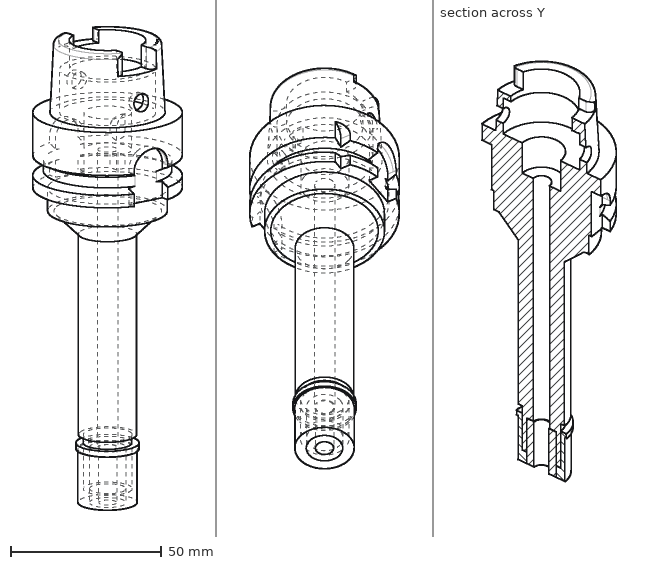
import cadquery as cq
import math

total_length = 160.0

taper_length = 25.0
taper_base_radius = 19.2
taper_tip_radius = 18.0
rim_fillet = 1.6

flange_radius = 25.0
groove_radius = 21.5
groove_upper_edge = 14.9
groove_upper_root = 16.5
groove_lower_root = 20.2
groove_lower_edge = 21.8
flange_height = 26.0

collar_radius = 20.0
collar_height = 8.0
cone_top_radius = 18.0
cone_height = 8.0
shank_radius = 9.8
neck_radius = 8.2
neck_top = 23.5

bore_radius = 12.8
bore_lip_depth = 10.0
undercut_radius = 16.0
thread_hole_radius = 8.0
thread_hole_depth = 12.8
coolant_hole_radius = 3.4

drive_slot_width = 10.5
drive_slot_corner_radius = 2.0
left_drive_slot_depth = 4.5
right_drive_slot_depth = 7.5

cross_hole_radius = 3.0
cross_hole_depth = 17.5

keyway_floor = 21.0
left_keyway_width = 12.0
right_keyway_width = 14.0
keyway_top_depth = 7.0
notch_floor = 15.8
notch_inner_edge = 15.7
notch_width = 10.0

nut_radius = 10.0
nut_ring_radius = 10.5
nut_ring_height = 2.0
nut_height = 20.6
nut_lip = 4.8
collet_radius = 6.0
collet_length = 19.2
collet_bore_radius = 3.0

flange_face = total_length - taper_length
flange_bottom = flange_face - flange_height
collar_bottom = flange_bottom - collar_height
cone_bottom = collar_bottom - cone_height
keyway_top = flange_face - keyway_top_depth


def cylinder(radius, bottom, top):
    return cq.Workplane("XY").workplane(offset=bottom).circle(radius).extrude(top - bottom)


def holder_blank():
    """Turned outside of the holder, from the nose in the nut up to the taper rim."""
    arc_offset = rim_fillet * (1 - math.sqrt(0.5))
    return (
        cq.Workplane("XZ")
        .moveTo(0, nut_lip)
        .lineTo(neck_radius, nut_lip)
        .lineTo(neck_radius, neck_top)
        .lineTo(shank_radius, neck_top)
        .lineTo(shank_radius, cone_bottom)
        .lineTo(cone_top_radius, collar_bottom)
        .lineTo(collar_radius, collar_bottom)
        .lineTo(collar_radius, flange_bottom)
        .lineTo(flange_radius, flange_bottom)
        .lineTo(flange_radius, flange_face - groove_lower_edge)
        .lineTo(groove_radius, flange_face - groove_lower_root)
        .lineTo(groove_radius, flange_face - groove_upper_root)
        .lineTo(flange_radius, flange_face - groove_upper_edge)
        .lineTo(flange_radius, flange_face)
        .lineTo(taper_base_radius, flange_face)
        .lineTo(taper_tip_radius, total_length - rim_fillet)
        .threePointArc(
            (taper_tip_radius - arc_offset, total_length - arc_offset),
            (taper_tip_radius - rim_fillet, total_length),
        )
        .lineTo(0, total_length)
        .close()
        .revolve(360, (0, 0, 0), (0, 1, 0))
    )


def holder_bore():
    """Lip, undercut, thread hole, coolant hole and collet seat along the axis."""
    lip_bottom = total_length - bore_lip_depth
    lip = cylinder(bore_radius, lip_bottom, total_length)
    undercut = cylinder(undercut_radius, flange_face, lip_bottom)
    thread_hole = cylinder(thread_hole_radius, flange_face - thread_hole_depth, flange_face)
    coolant_hole = cylinder(coolant_hole_radius, 0, flange_face)
    collet_seat = cylinder(collet_radius, 0, collet_length)
    return lip.union(undercut).union(thread_hole).union(coolant_hole).union(collet_seat)


def drive_slot(side, depth):
    """Slot through the taper rim on the +X (side = 1) or -X (side = -1) side.

    Its mouth is rounded by arcs tangent to the slot wall and to the taper.
    """
    half_width = drive_slot_width / 2
    radius = drive_slot_corner_radius
    center_y = half_width + radius
    center_distance = taper_tip_radius - radius
    center_x = math.sqrt(center_distance**2 - center_y**2)
    wall_to_taper_angle = (math.atan2(center_y, center_x) - math.pi / 2) / 2
    middle_x = center_x + radius * math.cos(wall_to_taper_angle)
    middle_y = center_y + radius * math.sin(wall_to_taper_angle)
    end_x = center_x * taper_tip_radius / center_distance
    end_y = center_y * taper_tip_radius / center_distance
    return (
        cq.Workplane("XY")
        .workplane(offset=total_length - depth)
        .moveTo(0, -half_width)
        .lineTo(side * center_x, -half_width)
        .threePointArc((side * middle_x, -middle_y), (side * end_x, -end_y))
        .lineTo(side * flange_radius, -end_y)
        .lineTo(side * flange_radius, end_y)
        .lineTo(side * end_x, end_y)
        .threePointArc((side * middle_x, middle_y), (side * center_x, half_width))
        .lineTo(0, half_width)
        .close()
        .extrude(depth)
    )


def flange_slot(side, floor, center_y, width):
    """Round-topped slot along X, open outward from its floor and through the flange bottom."""
    arc_center = keyway_top - width / 2
    length = flange_radius - floor
    middle_x = side * (floor + length / 2)
    straight_height = arc_center - flange_bottom
    straight = cq.Workplane("XY").box(length, width, straight_height).translate(
        (middle_x, center_y, flange_bottom + straight_height / 2)
    )
    round_top = (
        cq.Workplane("YZ")
        .center(center_y, arc_center)
        .circle(width / 2)
        .extrude(length / 2, both=True)
        .translate((middle_x, 0, 0))
    )
    return straight.union(round_top)


def make_holder():
    cross_hole = (
        cq.Workplane("YZ")
        .center(0, total_length - cross_hole_depth)
        .circle(cross_hole_radius)
        .extrude(taper_base_radius, both=True)
    )
    notch_center = notch_inner_edge + notch_width / 2
    return (
        holder_blank()
        .cut(holder_bore())
        .cut(drive_slot(-1, left_drive_slot_depth))
        .cut(drive_slot(1, right_drive_slot_depth))
        .cut(cross_hole)
        .cut(flange_slot(-1, keyway_floor, 0, left_keyway_width))
        .cut(flange_slot(1, keyway_floor, 0, right_keyway_width))
        .cut(flange_slot(-1, notch_floor, notch_center, notch_width))
    )


def make_nut():
    """Clamping nut with a ring at its top, bored for the holder nose and the collet."""
    sleeve = cylinder(nut_radius, 0, nut_height)
    ring = cylinder(nut_ring_radius, nut_height - nut_ring_height, nut_height)
    nose_pocket = cylinder(neck_radius, nut_lip, nut_height)
    collet_mouth = cylinder(collet_radius, 0, nut_lip)
    return sleeve.union(ring).cut(nose_pocket).cut(collet_mouth)


def make_collet():
    """Plain collet, flush with the nut face."""
    return cylinder(collet_radius, 0, collet_length).cut(cylinder(collet_bore_radius, 0, collet_length))


holder = make_holder()
nut = make_nut()
collet = make_collet()

result = cq.Compound.makeCompound([holder.val(), nut.val(), collet.val()])